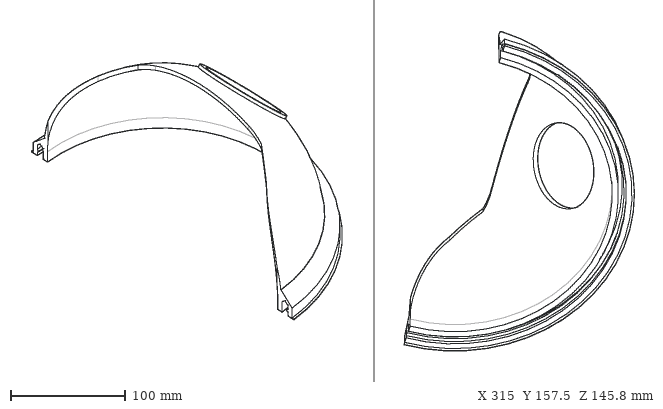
import cadquery as cq
import math

foot_radius = 157.5
foot_thickness = 0.5
ring_radius = 155.3
ring_height = 12.5
cone_top = 25.8

dome_radius = 142.5
dome_inner_radius = 138.0
dome_center_z = ring_height

groove_inner_radius = 143.3
groove_outer_radius = 150.2
groove_roof_z = ring_height + (groove_outer_radius - groove_inner_radius) / 2

ridge_bottom_z = 4.0
ridge_tip_z = 6.0
ridge_top_z = 8.0
ridge_depth = 2.0

opening_depth = 50.5
opening_flat_half = 55.7
corner_end = (74.0, 47.5)
corner_middle = (65.2, 49.8)
flank_end = (101.0, 25.2)
flank_middle = (117.2, 11.3)
opening_half_width = 137.3

port_diameter = 76.2
boss_diameter = 88.8
port_elevation = 41.5
boss_face_distance = 138.3
boss_thickness = 6.5

cutter_size = 2 * foot_radius


def revolve_about_z(profile):
    """Full turn of an open XZ profile, closed back to its start."""
    return profile.close().revolve(360, (0, 0, 0), (0, 1, 0))


def make_ring():
    """Grooved ring: foot, vertical wall and cone that rises to the dome."""
    ring = revolve_about_z(
        cq.Workplane("XZ")
        .moveTo(dome_inner_radius, 0)
        .lineTo(foot_radius, 0)
        .lineTo(foot_radius, foot_thickness)
        .lineTo(ring_radius, foot_thickness)
        .lineTo(ring_radius, ring_height)
        .lineTo(ring_radius - (cone_top - ring_height), cone_top)
        .lineTo(dome_inner_radius, cone_top)
    )
    groove = revolve_about_z(
        cq.Workplane("XZ")
        .moveTo(groove_inner_radius, 0)
        .lineTo(groove_outer_radius, 0)
        .lineTo(groove_outer_radius, ridge_bottom_z)
        .lineTo(groove_outer_radius - ridge_depth, ridge_tip_z)
        .lineTo(groove_outer_radius, ridge_top_z)
        .lineTo(groove_outer_radius, ring_height)
        .lineTo((groove_inner_radius + groove_outer_radius) / 2, groove_roof_z)
        .lineTo(groove_inner_radius, ring_height)
    )
    return ring.cut(groove)


def make_half_ball(radius):
    """Solid hemisphere that stands on the dome's center plane."""
    diagonal = radius * math.sqrt(0.5)
    return revolve_about_z(
        cq.Workplane("XZ")
        .moveTo(0, dome_center_z)
        .lineTo(radius, dome_center_z)
        .threePointArc((diagonal, dome_center_z + diagonal), (0, dome_center_z + radius))
    )


def make_port_cylinder(diameter, start, length):
    """Cylinder on the port axis; start is measured from the dome center."""
    angle = math.radians(port_elevation)
    direction = cq.Vector(0, math.cos(angle), math.sin(angle))
    base = cq.Vector(0, 0, dome_center_z) + direction * start
    return cq.Workplane(cq.Solid.makeCylinder(diameter / 2, length, base, direction))


def make_opening():
    """Vertical cutter that follows the front opening of the dome."""
    half_outline = (
        cq.Workplane("XY")
        .lineTo(0, opening_depth)
        .lineTo(opening_flat_half, opening_depth)
        .threePointArc(corner_middle, corner_end)
        .lineTo(*flank_end)
        .threePointArc(flank_middle, (opening_half_width, 0))
        .close()
    )
    half = half_outline.extrude(cutter_size)
    return half.union(half.mirror("YZ"))


def make_front_half_space():
    """Block that removes everything in front of the XZ plane."""
    return cq.Workplane("XY").box(
        2 * cutter_size, cutter_size, 2 * cutter_size
    ).translate((0, -cutter_size / 2, 0))


dome = make_half_ball(dome_radius)
cap = make_port_cylinder(boss_diameter, boss_face_distance, boss_thickness * 2)
boss = make_port_cylinder(boss_diameter, boss_face_distance - boss_thickness, boss_thickness)
bore = make_port_cylinder(port_diameter, dome_inner_radius / 2, dome_radius)

shell = dome.cut(cap).union(boss).cut(make_half_ball(dome_inner_radius))
result = shell.union(make_ring()).cut(bore)
result = result.cut(make_front_half_space()).cut(make_opening())